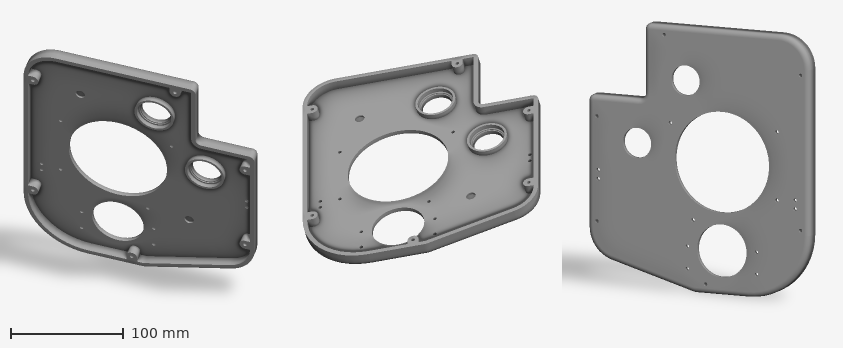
import cadquery as cq
import math

width = 215.0
height = 240.0
depth = 13.2
wall = 4.0
floor = 4.0
back_round = 4.8
floor_face = depth - floor

notch_x = 160.3
notch_z = 171.4
slope_start_x = 112.5
slope_angle = 15.8
slope_end_z = (width - slope_start_x) * math.tan(math.radians(slope_angle))
small_corner = 5.0
large_corner = 30.0
slope_corner = 15.0
bottom_left_corner = 2 * large_corner

post_radius = 5.0
post_inset = 8.6
post_hole_radius = 1.7
left_post_heights = (64.5, 205.0)
right_post_heights = (57.4, 152.5)
top_post_x = 141.0
bottom_post_x = 100.8

window_x = 85.0
large_window_z = 120.2
large_window_radius = 45.8
small_window_z = 40.0
small_window_radius = 24.0

socket_centers = ((120.2, 191.5), (167.3, 131.3))
collar_radius = 18.2
collar_height = 5.0
seat_radius = 16.0
seat_depth = 4.0
step_radius = 14.6
step_depth = 5.0
bore_radius = 13.7
collar_rim = floor_face - collar_height

recess_centers = ((50.0, 191.5), (151.5, 63.0))
recess_radius = 4.3
recess_depth = 2.0

small_hole_radius = 1.7
large_window_holes = ((31.7, 152.0), (135.0, 152.0), (31.7, 90.0))
small_window_holes = ((51.4, 41.5), (118.5, 41.5), (51.4, 21.4), (118.5, 21.4), (113.0, 65.8))
side_holes = ((14.0, 91.5), (14.0, 83.5), (205.2, 104.0), (205.2, 95.8))


def cylinders(centers, radius, start, end):
    """Cylinders along Y, at (x, z) centers, between two depths."""
    return (
        cq.Workplane("XZ", origin=(0, start, 0))
        .pushPoints(centers)
        .circle(radius)
        .extrude(start - end)
    )


def outline_prism():
    """Solid block with the outer outline and its rounded corners."""
    corners = {
        (0, 0): bottom_left_corner,
        (slope_start_x, 0): slope_corner,
        (width, slope_end_z): large_corner,
        (width, notch_z): small_corner,
        (notch_x, notch_z): small_corner,
        (notch_x, height): small_corner,
        (0, height): large_corner,
    }
    prism = cq.Workplane("XZ").polyline(list(corners)).close().extrude(-depth)
    for (x, z), radius in corners.items():
        corner_edge = cq.selectors.NearestToPointSelector((x, depth / 2, z))
        prism = prism.edges("|Y").edges(corner_edge).fillet(radius)
    return prism


def tray():
    """Outline block with a rounded back, hollowed out from the rim to the floor."""
    prism = outline_prism()
    rim_outline = prism.faces("<Y").wires().val()
    cavity_outline = rim_outline.offset2D(-wall)
    cavity = cq.Workplane("XZ").add(cavity_outline).toPending().extrude(-floor_face)
    return prism.faces(">Y").edges().fillet(back_round).cut(cavity)


def post_web(center, outward):
    """Block that joins a post to the wall lying in the outward (x, z) direction."""
    x, z = center
    out_x, out_z = outward
    reach = post_inset - wall / 2
    size_x = reach if out_x else 2 * post_radius
    size_z = reach if out_z else 2 * post_radius
    block = cq.Workplane("XY").box(size_x, floor_face, size_z)
    return block.translate((x + out_x * reach / 2, floor_face / 2, z + out_z * reach / 2))


def add_posts(body):
    outward_by_center = {
        (top_post_x, height - post_inset): (0, 1),
        (bottom_post_x, post_inset): (0, -1),
    }
    for z in left_post_heights:
        outward_by_center[(post_inset, z)] = (-1, 0)
    for z in right_post_heights:
        outward_by_center[(width - post_inset, z)] = (1, 0)

    centers = list(outward_by_center)
    body = body.union(cylinders(centers, post_radius, 0, floor_face))
    for center, outward in outward_by_center.items():
        body = body.union(post_web(center, outward))
    return body.cut(cylinders(centers, post_hole_radius, 0, depth))


def cut_windows(body):
    body = body.cut(cylinders([(window_x, large_window_z)], large_window_radius, 0, depth))
    return body.cut(cylinders([(window_x, small_window_z)], small_window_radius, 0, depth))


def add_sockets(body):
    body = body.union(cylinders(socket_centers, collar_radius, collar_rim, floor_face))
    body = body.cut(cylinders(socket_centers, seat_radius, collar_rim, collar_rim + seat_depth))
    body = body.cut(cylinders(socket_centers, step_radius, collar_rim, collar_rim + step_depth))
    return body.cut(cylinders(socket_centers, bore_radius, collar_rim, depth))


def cut_floor_holes(body):
    small_holes = large_window_holes + small_window_holes + side_holes
    body = body.cut(cylinders(small_holes, small_hole_radius, floor_face, depth))
    return body.cut(cylinders(recess_centers, recess_radius, floor_face, floor_face + recess_depth))


result = cut_floor_holes(add_sockets(cut_windows(add_posts(tray()))))